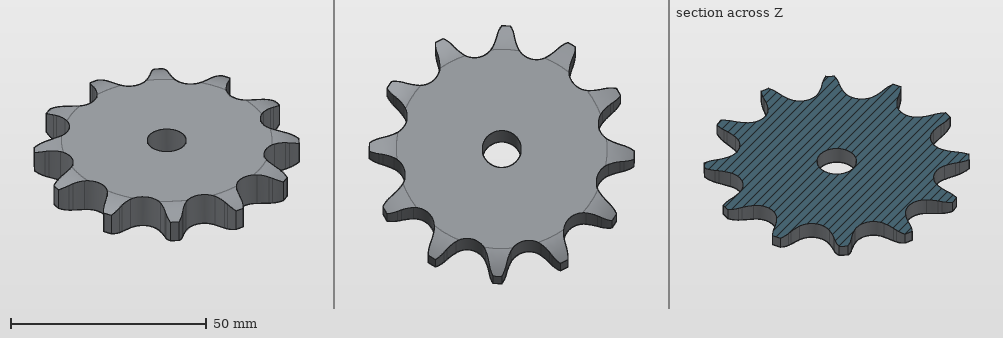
import cadquery as cq
import math


tooth_count = 12
overall_size = 66.2
chain_pitch = 15.9
roller_diameter = 10.1
thickness = 9.1
bore_diameter = 10.0
relief_start_radius = 27.0
relief_arc_radius = chain_pitch

seating_clearance = 0.05
working_center_ratio = 0.8
topping_center_ratio = 1.4
half_pitch_angle = math.pi / tooth_count
seating_angle = math.radians(35 + 60 / tooth_count)
working_angle = math.radians(18 - 56 / tooth_count)

pitch_radius = chain_pitch / 2 / math.sin(half_pitch_angle)
seating_radius = roller_diameter / 2 + seating_clearance
working_offset = working_center_ratio * roller_diameter
working_radius = seating_radius + working_offset
topping_offset = topping_center_ratio * roller_diameter


def from_point(origin, distance, angle):
    """Point at a distance and direction from another point."""
    return (origin[0] + distance * math.cos(angle), origin[1] + distance * math.sin(angle))


def mirrored(point):
    """Same point on the other side of the gap centerline."""
    return (-point[0], point[1])


def angle_from(origin, point):
    return math.atan2(point[1] - origin[1], point[0] - origin[0])


roller_center = (0, pitch_radius)
seat_bottom = (0, pitch_radius - seating_radius)

seat_end = from_point(roller_center, seating_radius, math.pi + seating_angle)
working_center = from_point(roller_center, working_offset, seating_angle)
working_end_angle = math.pi + seating_angle - working_angle
working_middle = from_point(working_center, working_radius, working_end_angle + working_angle / 2)
working_end = from_point(working_center, working_radius, working_end_angle)

topping_center = from_point(roller_center, topping_offset, math.pi + half_pitch_angle)
normal_angle = working_end_angle + math.pi
topping_radius = (working_end[0] - topping_center[0]) * math.cos(normal_angle) + (
    working_end[1] - topping_center[1]
) * math.sin(normal_angle)
straight_end = from_point(topping_center, topping_radius, normal_angle)

apex_offset = topping_offset - chain_pitch / 2
apex_height = math.sqrt(topping_radius**2 - apex_offset**2)
apex_radius = pitch_radius * math.cos(half_pitch_angle) + apex_height
apex = from_point((0, 0), apex_radius, math.pi / 2 + half_pitch_angle)
topping_middle_angle = (normal_angle - 2 * math.pi + angle_from(topping_center, apex)) / 2
topping_middle = from_point(topping_center, topping_radius, topping_middle_angle)

tip_corner_y = overall_size / 2
tip_corner_x = topping_center[0] + math.sqrt(topping_radius**2 - (tip_corner_y - topping_center[1]) ** 2)
tip_radius = math.hypot(tip_corner_x, tip_corner_y)


def make_blank():
    """Bored disc whose rim is thinned on both faces by an arc tangent to the flats."""
    half_thickness = thickness / 2
    bore_radius = bore_diameter / 2

    def relief_height(radius):
        reach = radius - relief_start_radius
        return half_thickness - relief_arc_radius + math.sqrt(relief_arc_radius**2 - reach**2)

    middle_radius = (relief_start_radius + tip_radius) / 2
    middle_height = relief_height(middle_radius)
    tip_height = relief_height(tip_radius)
    return (
        cq.Workplane("XZ")
        .moveTo(bore_radius, -half_thickness)
        .lineTo(relief_start_radius, -half_thickness)
        .threePointArc((middle_radius, -middle_height), (tip_radius, -tip_height))
        .lineTo(tip_radius, tip_height)
        .threePointArc((middle_radius, middle_height), (relief_start_radius, half_thickness))
        .lineTo(bore_radius, half_thickness)
        .close()
        .revolve(360, (0, 0, 0), (0, 1, 0))
    )


def make_gap_cutter():
    """Space between two teeth, centered on +Y: seating, working and topping curves."""
    outer_point = (0, apex_radius / math.cos(half_pitch_angle))
    return (
        cq.Workplane("XY")
        .workplane(offset=-thickness)
        .moveTo(*apex)
        .threePointArc(topping_middle, straight_end)
        .lineTo(*working_end)
        .threePointArc(working_middle, seat_end)
        .threePointArc(seat_bottom, mirrored(seat_end))
        .threePointArc(mirrored(working_middle), mirrored(working_end))
        .lineTo(*mirrored(straight_end))
        .threePointArc(mirrored(topping_middle), mirrored(apex))
        .lineTo(*outer_point)
        .close()
        .extrude(2 * thickness)
    )


result = make_blank()
gap_cutter = make_gap_cutter()
for index in range(tooth_count):
    result = result.cut(gap_cutter.rotate((0, 0, 0), (0, 0, 1), index * 360 / tooth_count))